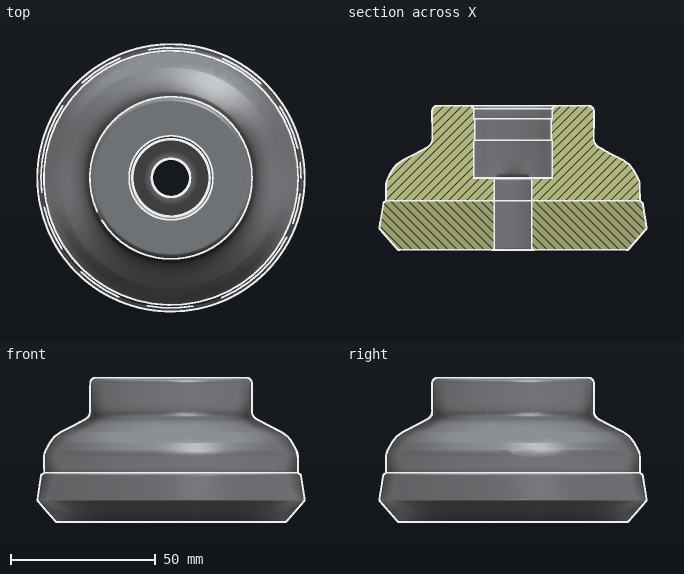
import cadquery as cq
import math

height = 50.0
split_z = 17.0
through_hole_radius = 6.5

collar_radius = 28.0
collar_top_fillet = 2.0
neck_fillet = 3.0
neck_z = 36.5
upper_cone_radius = 40.6
upper_cone_z = 29.9
upper_shoulder_fillet = 9.3
skirt_radius = 44.0
lower_cone_z = 23.8
lower_shoulder_fillet = 5.0

bore_radius = 13.5
bore_chamfer = 1.0
band_radius = 13.2
band_top_z = 45.4
band_bottom_z = 37.9
bore_floor_z = height / 2
hole_chamfer = 0.3

base_radius = 46.3
rim_z = 7.7
wall_angle = 8.8
foot_angle = 41.0
lip_z = 16.4
edge_fillet = 0.5
foot_fillet = 0.7

half_turn = math.radians(wall_angle + foot_angle) / 2
half_difference = math.radians(foot_angle - wall_angle) / 2
corner_radius = base_radius - edge_fillet + edge_fillet * math.cos(half_difference) / math.cos(half_turn)
corner_z = rim_z - edge_fillet * math.sin(half_difference) / math.cos(half_turn)
lip_radius = corner_radius - (lip_z - corner_z) * math.tan(math.radians(wall_angle))
foot_radius = corner_radius - corner_z * math.tan(math.radians(foot_angle))


def revolve_outline(points):
    """Turn a closed (radius, z) outline around the Z axis."""
    return cq.Workplane("XZ").polyline(points).close().revolve(360, (0, 0, 0), (0, 1, 0))


def fillet_circle(body, radius, z, fillet):
    """Round the circular edge of the given radius and height."""
    tolerance = 0.01
    box = cq.selectors.BoxSelector(
        (-radius - tolerance, -radius - tolerance, z - tolerance),
        (radius + tolerance, radius + tolerance, z + tolerance),
        boundingbox=True,
    )
    return body.edges(box).fillet(fillet)


def make_hub():
    hub = revolve_outline([
        (0, split_z),
        (skirt_radius, split_z),
        (skirt_radius, lower_cone_z),
        (upper_cone_radius, upper_cone_z),
        (collar_radius, neck_z),
        (collar_radius, height),
        (0, height),
    ])
    hub = fillet_circle(hub, skirt_radius, lower_cone_z, lower_shoulder_fillet)
    hub = fillet_circle(hub, upper_cone_radius, upper_cone_z, upper_shoulder_fillet)
    hub = fillet_circle(hub, collar_radius, neck_z, neck_fillet)
    hub = fillet_circle(hub, collar_radius, height, collar_top_fillet)
    return hub.cut(make_bore())


def make_bore():
    """Stepped bore with a narrower band, and the chamfered hole below it."""
    return revolve_outline([
        (0, split_z),
        (through_hole_radius, split_z),
        (through_hole_radius, bore_floor_z - hole_chamfer),
        (through_hole_radius + hole_chamfer, bore_floor_z),
        (bore_radius, bore_floor_z),
        (bore_radius, band_bottom_z),
        (band_radius, band_bottom_z),
        (band_radius, band_top_z),
        (bore_radius, band_top_z),
        (bore_radius, height - bore_chamfer),
        (bore_radius + bore_chamfer, height),
        (0, height),
    ])


def make_base():
    base = revolve_outline([
        (through_hole_radius, 0),
        (foot_radius, 0),
        (corner_radius, corner_z),
        (lip_radius, lip_z),
        (skirt_radius, split_z),
        (through_hole_radius, split_z),
    ])
    base = fillet_circle(base, foot_radius, 0, foot_fillet)
    base = fillet_circle(base, corner_radius, corner_z, edge_fillet)
    base = fillet_circle(base, lip_radius, lip_z, edge_fillet)
    return base


hub = make_hub()
base = make_base()

result = cq.Compound.makeCompound([hub.val(), base.val()])